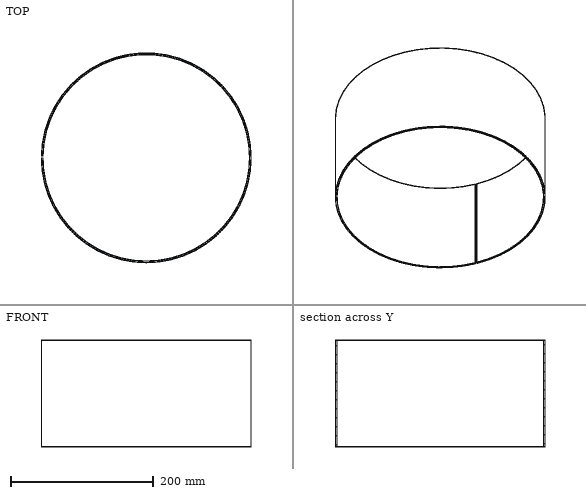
import cadquery as cq
import math

outer_diameter = 295.0
wall_thickness = 2.5
height = 150.0
outer_rim_chamfer = 0.5
inner_rim_chamfer = 0.2
slit_angle = 1.0

outer_radius = outer_diameter / 2
inner_radius = outer_radius - wall_thickness


def make_band():
    """Thin-walled cylindrical band, centred on the Z axis and standing on Z = 0."""
    return cq.Workplane("XY").circle(outer_radius).circle(inner_radius).extrude(height)


def chamfer_rims(band):
    """Bevel the outer and inner edges of both the top and the bottom rim."""
    largest_circles = cq.selectors.RadiusNthSelector(-1)
    smallest_circles = cq.selectors.RadiusNthSelector(0)
    band = band.edges(largest_circles).chamfer(outer_rim_chamfer)
    return band.edges(smallest_circles).chamfer(inner_rim_chamfer)


def make_slit_cutter():
    """Full-height wedge from the axis through the -X wall, opening from the XZ plane toward +Y."""
    wedge_length = outer_radius + wall_thickness
    wedge_width = wedge_length * math.tan(math.radians(slit_angle))
    return (
        cq.Workplane("XY")
        .polyline([(0, 0), (-wedge_length, 0), (-wedge_length, wedge_width)])
        .close()
        .extrude(height)
    )


result = chamfer_rims(make_band()).cut(make_slit_cutter())